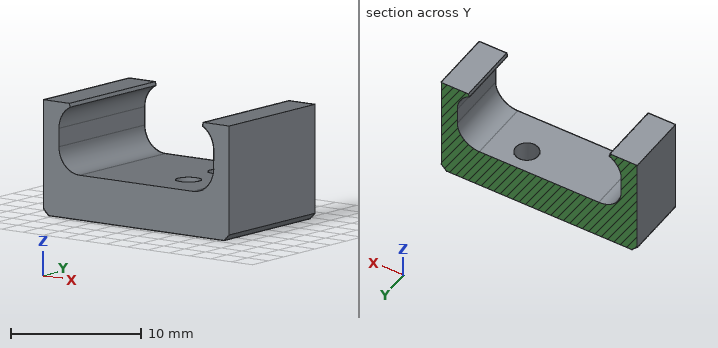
import cadquery as cq
import math

length = 17.8
width = 11.0
height = 9.0
edge_bevel = 0.5

wall = 1.5
floor = 3.5
channel_radius = 2.0
upper_arc_z = 6.95
lip_tip_reach = 2.58
lip_top_reach = 2.5

hole_diameter = 2.0
hole_x = 2.33
hole_pitch = 4.13
hole_pair_y = 0.15

recess_radius = 1.25
recess_depth = recess_radius
recess_overlap = 0.37
recess_y = 2.22

half_length = length / 2
inner_x = half_length - wall
arc_center_x = inner_x - channel_radius
lip_tip_x = half_length - lip_tip_reach
lip_top_x = half_length - lip_top_reach


def arc_height(x):
    """Height on the upper channel arc at distance x from the middle plane."""
    return upper_arc_z + math.sqrt(channel_radius**2 - (x - arc_center_x) ** 2)


def make_body():
    lip_tip_z = arc_height(lip_tip_x)
    upper_mid_x = (inner_x + lip_tip_x) / 2
    diagonal = channel_radius * math.sqrt(0.5)
    lower_arc_z = floor + channel_radius
    right_half = (
        cq.Workplane("XZ", origin=(0, width / 2, 0))
        .lineTo(half_length - edge_bevel, 0)
        .lineTo(half_length, edge_bevel)
        .lineTo(half_length, height)
        .lineTo(lip_top_x, height)
        .lineTo(lip_tip_x, lip_tip_z)
        .threePointArc((upper_mid_x, arc_height(upper_mid_x)), (inner_x, upper_arc_z))
        .lineTo(inner_x, lower_arc_z)
        .threePointArc(
            (arc_center_x + diagonal, lower_arc_z - diagonal),
            (arc_center_x, floor),
        )
        .lineTo(0, floor)
        .close()
        .extrude(width)
    )
    return right_half.union(right_half.mirror("YZ")).clean()


def make_holes():
    hole_points = [(hole_x, hole_pair_y + side * hole_pitch / 2) for side in (-1, 1)]
    return cq.Workplane("XY").pushPoints(hole_points).circle(hole_diameter / 2).extrude(height)


def make_recess():
    recess_x = -half_length + edge_bevel - recess_overlap + recess_radius
    cone = cq.Solid.makeCone(recess_radius, 0, recess_depth)
    return cq.Workplane("XY").add(cone.translate(cq.Vector(recess_x, recess_y, 0)))


result = make_body().cut(make_holes()).cut(make_recess())